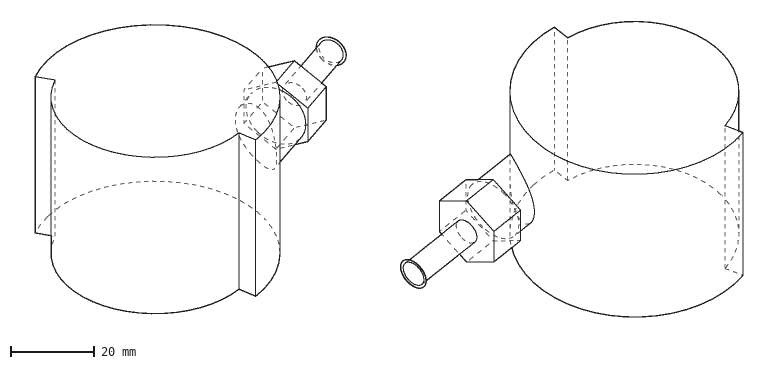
import cadquery as cq
import math

body_height = 46.0
large_radius = 60.0 / 2
small_radius = 25.0
step_angle = math.radians(10)

overall_length = 89.9
fitting_x = 15.0
collar_diameter = 16.0
hex_sides = 6
hex_across_flats = 17.1
hex_length = 10.0
tube_diameter = 6.5
tube_length = 20.0
flange_diameter = 8.0
flange_thickness = 0.135

tube_end = overall_length - small_radius
hex_end = tube_end - tube_length
hex_start = hex_end - hex_length


def step_point(radius, side):
    """Point on the radial step face; side is -1 for left, +1 for right."""
    return (side * radius * math.cos(step_angle), -radius * math.sin(step_angle))


def fitting_plane(y):
    """Sketch plane facing +Y, centred on the fitting axis."""
    return cq.Workplane(cq.Plane(origin=(fitting_x, y, 0), xDir=(0, 0, 1), normal=(0, 1, 0)))


def cylinder(start, end, diameter):
    return fitting_plane(start).circle(diameter / 2).extrude(end - start)


def make_body():
    return (
        cq.Workplane("XY")
        .workplane(offset=-body_height / 2)
        .moveTo(*step_point(large_radius, 1))
        .threePointArc((0, large_radius), step_point(large_radius, -1))
        .lineTo(*step_point(small_radius, -1))
        .threePointArc((0, -small_radius), step_point(small_radius, 1))
        .close()
        .extrude(body_height)
    )


def make_fitting():
    collar = cylinder(0, hex_start, collar_diameter)
    across_corners = hex_across_flats / math.cos(math.pi / hex_sides)
    hexagon = fitting_plane(hex_start).polygon(hex_sides, across_corners).extrude(hex_length)
    tube = cylinder(hex_end, tube_end, tube_diameter)
    flange = cylinder(tube_end - flange_thickness, tube_end, flange_diameter)
    return collar.union(hexagon).union(tube).union(flange)


result = make_body().union(make_fitting())